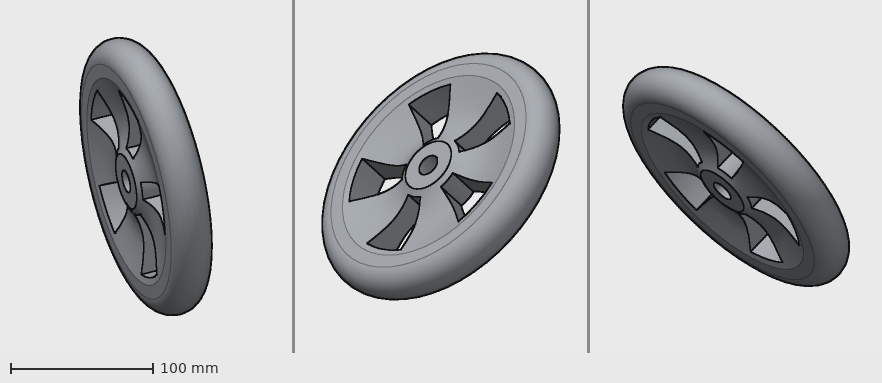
import cadquery as cq
import math

wheel_radius = 100.0
wheel_width = 30.0
rim_inner_radius = 75.0
hub_radius = 20.0
bore_radius = 8.0
dish_inner_radius, dish_inner_depth = 28.0, 3.8
dish_deepest_radius, dish_depth = 43.0, 6.5
dish_outer_radius, dish_outer_depth = 60.0, 4.2
window_count = 5
window_inner_radius = 25.0
window_outer_radius = 70.0
window_half_angle = 15.0
first_window_angle = 90.0

half_width = wheel_width / 2
tread_centre_radius = wheel_radius - half_width
dish_points = [
    (hub_radius, half_width),
    (dish_inner_radius, half_width - dish_inner_depth),
    (dish_deepest_radius, half_width - dish_depth),
    (dish_outer_radius, half_width - dish_outer_depth),
    (rim_inner_radius, half_width),
]


def wheel_body():
    """Half section in X-Y, revolved about the Y axis: hub, dished web and round tyre."""
    front_dish = [(radius, -offset) for radius, offset in dish_points]
    back_dish = dish_points[::-1]
    section = (
        cq.Workplane("XY")
        .moveTo(bore_radius, -half_width)
        .lineTo(hub_radius, -half_width)
        .spline(front_dish[1:], includeCurrent=True)
        .lineTo(tread_centre_radius, -half_width)
        .threePointArc((wheel_radius, 0), (tread_centre_radius, half_width))
        .lineTo(rim_inner_radius, half_width)
        .spline(back_dish[1:], includeCurrent=True)
        .lineTo(bore_radius, half_width)
        .close()
    )
    return section.revolve(360, (0, 0, 0), (0, 1, 0))


def polar_point(radius, angle):
    """Point in the X-Z plane at an angle in degrees from +X towards +Z."""
    return radius * math.cos(math.radians(angle)), radius * math.sin(math.radians(angle))


def window_cutter(centre_angle):
    """Ring sector passing through the full width of the wheel."""
    start_angle = centre_angle - window_half_angle
    end_angle = centre_angle + window_half_angle
    return (
        cq.Workplane("XZ")
        .moveTo(*polar_point(window_inner_radius, start_angle))
        .lineTo(*polar_point(window_outer_radius, start_angle))
        .threePointArc(
            polar_point(window_outer_radius, centre_angle),
            polar_point(window_outer_radius, end_angle),
        )
        .lineTo(*polar_point(window_inner_radius, end_angle))
        .threePointArc(
            polar_point(window_inner_radius, centre_angle),
            polar_point(window_inner_radius, start_angle),
        )
        .close()
        .extrude(half_width, both=True)
    )


result = wheel_body()
for index in range(window_count):
    result = result.cut(window_cutter(first_window_angle + index * 360 / window_count))